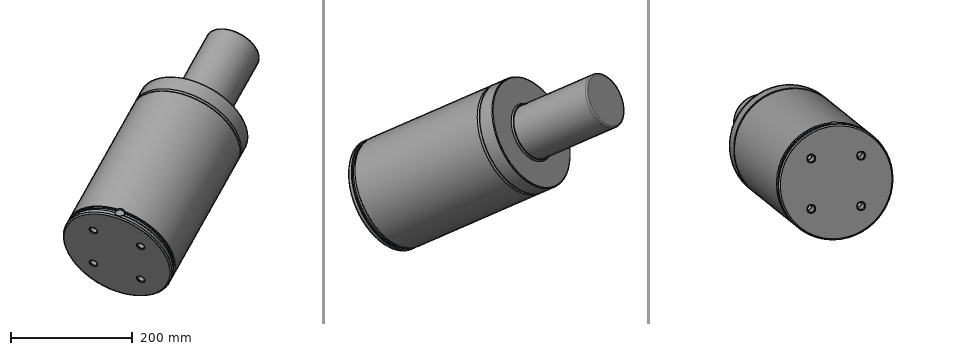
import cadquery as cq
import math

total_length = 480
body_diameter = 195.0

housing_top = 318.0
base_chamfer = 2.5
top_chamfer = 1.5

base_groove_diameter = 187
base_groove_bottom = 8.0
base_groove_top = 16.5
base_groove_fillet = 1.5

ring_groove_center = 286.5
ring_groove_radius = 2.5

bolt_circle_diameter = 120
bolt_count = 4
drill_diameter = 12.0
thread_diameter = 15.0
drill_depth = 19.0
drill_point_angle = 118

plug_diameter = 16.0
plug_length = 9.5
plug_height = 11.5
plug_top = 93.5

rod_diameter = 95.0
rod_tip_fillet = 3.0
rod_insertion = 31.0
wiper_base_diameter = 102.0
wiper_tip_diameter = 98.0
wiper_height = 3.0

rod_seat = housing_top - rod_insertion


def cylinder_y(diameter, start, end):
    """Cylinder on the spring axis between two Y positions."""
    plane = cq.Workplane("XZ", origin=(0, start, 0))
    return plane.circle(diameter / 2).extrude(start - end)


def port_cylinder(bottom, top):
    """Cylinder on the port axis between two Z positions."""
    plane = cq.Workplane("XY", origin=(0, plug_height, bottom))
    return plane.circle(plug_diameter / 2).extrude(top - bottom)


def revolve_y(profile):
    """Revolve a closed profile in the XY plane about the spring axis."""
    return profile.revolve(360, (0, 0, 0), (0, 1, 0))


def base_groove():
    """Ring cutter with rounded corners at the groove floor."""
    ring = cylinder_y(body_diameter, base_groove_bottom, base_groove_top)
    ring = ring.cut(cylinder_y(base_groove_diameter, base_groove_bottom, base_groove_top))
    floor_edges = ring.edges(cq.selectors.RadiusNthSelector(0))
    return floor_edges.fillet(base_groove_fillet)


def ring_groove():
    """Ring cutter of round section centred on the housing surface."""
    section = cq.Workplane("XY").center(body_diameter / 2, ring_groove_center).circle(ring_groove_radius)
    return section.revolve(360, (-body_diameter / 2, 0, 0), (-body_diameter / 2, 1, 0))


def mounting_hole():
    """Cutter for one hole: countersunk mouth, straight drill and drill point."""
    drill_radius = drill_diameter / 2
    mouth_radius = thread_diameter / 2
    point_length = drill_radius / math.tan(math.radians(drill_point_angle / 2))
    outline = [
        (0, 0),
        (mouth_radius, 0),
        (drill_radius, mouth_radius - drill_radius),
        (drill_radius, drill_depth),
        (0, drill_depth + point_length),
    ]
    return revolve_y(cq.Workplane("XY").polyline(outline).close())


def make_housing():
    housing = cylinder_y(body_diameter, 0, housing_top)
    housing = housing.faces("<Y").chamfer(base_chamfer)
    housing = housing.faces(">Y").chamfer(top_chamfer)
    housing = housing.cut(base_groove())
    housing = housing.cut(ring_groove())

    for i in range(bolt_count):
        angle = math.radians(360 / bolt_count * (i + 0.5))
        x = bolt_circle_diameter / 2 * math.cos(angle)
        z = bolt_circle_diameter / 2 * math.sin(angle)
        housing = housing.cut(mounting_hole().translate((x, 0, z)))

    housing = housing.cut(port_cylinder(plug_top - plug_length, body_diameter / 2))

    return housing.cut(cylinder_y(rod_diameter, rod_seat, housing_top))


def make_plug():
    return port_cylinder(plug_top - plug_length, plug_top)


def make_wiper():
    """Tapered ring around the rod, on the top face of the housing."""
    wiper_top = housing_top + wiper_height
    outline = [
        (rod_diameter / 2, housing_top),
        (wiper_base_diameter / 2, housing_top),
        (wiper_tip_diameter / 2, wiper_top),
        (rod_diameter / 2, wiper_top),
    ]
    return revolve_y(cq.Workplane("XY").polyline(outline).close())


def make_rod():
    rod = cylinder_y(rod_diameter, rod_seat, total_length)
    return rod.faces(">Y").edges().fillet(rod_tip_fillet)


housing = make_housing()
plug = make_plug()
wiper = make_wiper()
rod = make_rod()

result = cq.Compound.makeCompound([
    housing.val(),
    plug.val(),
    wiper.val(),
    rod.val(),
])